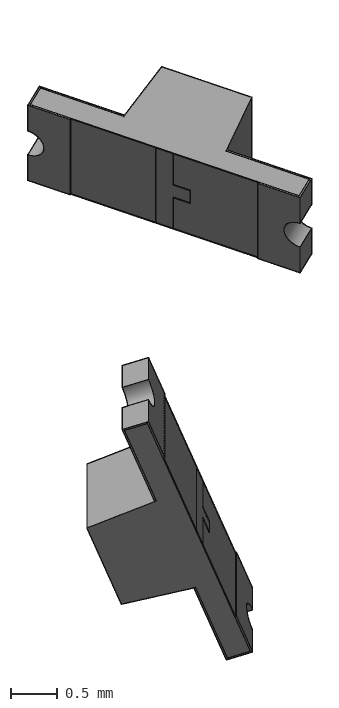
import cadquery as cq
import math

length = 3.2
width = 1.2
depth = 1.1
lens_height = 0.8
lens_base_length = 1.2
lens_draft = 5.0

plating = 0.02
pad_length = 0.5
notch_radius = 0.19

film_thickness = 0.01
mark_stripe = 0.2
mark_tab = 0.2

terminal_depth = depth - lens_height
half_length = length / 2
half_lens = lens_base_length / 2
lens_top_inset = lens_height * math.tan(math.radians(lens_draft))
core_half_length = half_length - plating
core_bottom = plating
core_top = terminal_depth - plating
film_half_length = half_length - pad_length
half_stripe = mark_stripe / 2


def box(x_start, x_end, y_start, y_end, height=width):
    """Box between two X and two Y limits, centred on Z = 0."""
    size_x = x_end - x_start
    size_y = y_end - y_start
    centre = ((x_start + x_end) / 2, (y_start + y_end) / 2, 0)
    return cq.Workplane("XY").box(size_x, size_y, height).translate(centre)


def end_cylinder(side, radius):
    """Cylinder along Y, centred on the end face of the given side."""
    workplane = cq.Workplane("XZ", origin=(side * half_length, 0, 0))
    return workplane.circle(radius).extrude(-terminal_depth)


def make_housing():
    """Board core and tapered lens in one piece, with end recesses for the notch linings."""
    half_lens_top = half_lens - lens_top_inset
    outline = [
        (-core_half_length, core_bottom),
        (core_half_length, core_bottom),
        (core_half_length, core_top),
        (half_lens, core_top),
        (half_lens, terminal_depth),
        (half_lens_top, depth),
        (-half_lens_top, depth),
        (-half_lens, terminal_depth),
        (-half_lens, core_top),
        (-core_half_length, core_top),
    ]
    housing = cq.Workplane("XY").polyline(outline).close().extrude(width / 2, both=True)
    for side in (-1, 1):
        housing = housing.cut(end_cylinder(side, notch_radius + plating))
    return housing


def make_terminal(side):
    """C-shaped plating around one end, with a lined half-round notch."""
    outline = [
        (side * film_half_length, 0),
        (side * half_length, 0),
        (side * half_length, terminal_depth),
        (side * half_lens, terminal_depth),
        (side * half_lens, core_top),
        (side * core_half_length, core_top),
        (side * core_half_length, core_bottom),
        (side * film_half_length, core_bottom),
    ]
    wrap = cq.Workplane("XY").polyline(outline).close().extrude(width / 2, both=True)
    end_block = box(-half_length, half_length, 0, terminal_depth)
    lining = end_cylinder(side, notch_radius + plating).intersect(end_block)
    return wrap.union(lining).cut(end_cylinder(side, notch_radius))


def film(x_start, x_end, height=width):
    """Piece of the thin layer lying on the underside of the core."""
    return box(x_start, x_end, core_bottom - film_thickness, core_bottom, height)


housing = make_housing()
terminals = [make_terminal(side) for side in (-1, 1)]

polarity_mark = film(-half_stripe, half_stripe).union(
    film(0, half_stripe + mark_tab, mark_tab)
)

left_mask = film(-film_half_length, -half_stripe)
right_mask = film(half_stripe, film_half_length).cut(polarity_mark)

result = cq.Compound.makeCompound(
    [
        housing.val(),
        *[terminal.val() for terminal in terminals],
        polarity_mark.val(),
        left_mask.val(),
        right_mask.val(),
    ]
)